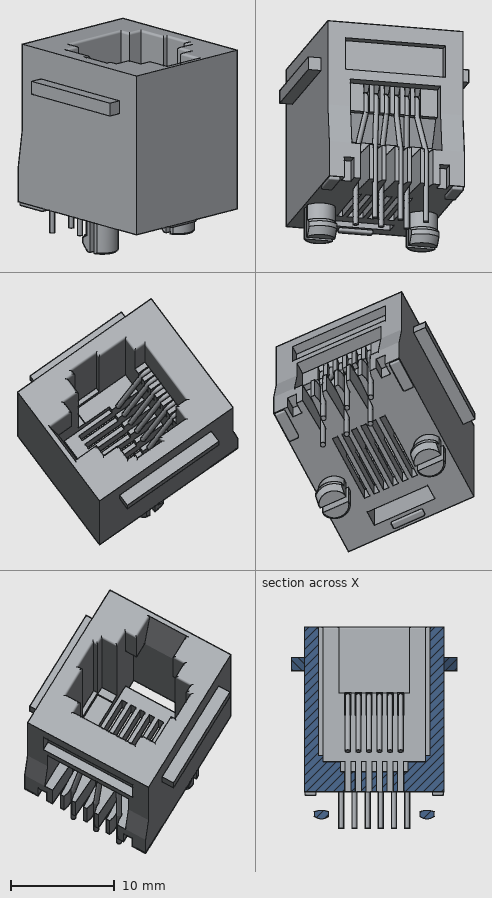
import cadquery as cq
import math


LENGTH = 16.5
HEIGHT = 15.91
WIDTH = 13.48
UPPER_SETBACK = 0.56
SETBACK_BOTTOM = 3.5
SETBACK_TOP = 7.4

OVERALL_WIDTH = 16.0
RAIL_START = 3.19
RAIL_END = 14.1
RAIL_BOTTOM = 11.67
RAIL_TOP = 12.95

MOUTH_RADIUS = 0.23
CONTACT_WALL = 3.75
CONTACT_HALF = 3.38
PLUG_START = 4.95
PLUG_END = 11.79
PLUG_HALF = 4.92
KEY_START = 8.1
KEY_END = 10.97
KEY_HALF = 5.37
STEP_END = 13.45
STEP_HALF = 3.25
LATCH_HALF = 2.02
LATCH_MOUTH_END = 16.03
LATCH_RAMP_END = 15.03
LATCH_DEPTH = 4.96
LEDGE_Z = 9.53
KEY_FLOOR = 3.5
PLUG_FLOOR = 2.92
PLUG_END_FLOOR = 3.11
STEP_FLOOR = 1.95

RECESS_HALF = 4.98
RECESS_BOTTOM = 11.13
RECESS_TOP = 14.32
RECESS_DEPTH = 0.9
WINDOW_HALF = 4.5
WINDOW_TOP = 10.17
RIB_FACE = 1.79
RIB_BACK = 2.4
WINDOW_BACK = CONTACT_WALL
WINDOW_BACK_TOP = 4.85

CONTACT_COUNT = 6
WIRE_DIAMETER = 0.5
WIRE_RADIUS = WIRE_DIAMETER / 2
TAIL_BOTTOM = HEIGHT - 19.45
TAIL_SPAN = 6.36
FRONT_ROW = 1.05
REAR_ROW = 3.58
SPRING_SPAN = 5.1
RISER_X = 2.08
RISER_TOP = 8.81
FIRST_BEND_RADIUS = 0.43
SECOND_BEND_START = 4.15
SECOND_BEND_RADIUS = 0.58
SPRING_ANGLE = 60
SPRING_TIP = 7.55

SPRING_SLOT_WIDTH = 0.56
SPRING_SLOT_END = 12.02
TAIL_SLOT_MOUTH = 0.88
TAIL_SLOT_THROAT = 0.55
FRONT_THROAT_X = 0.62

NOTCH_INNER = 4.28
NOTCH_OUTER = 5.23
NOTCH_HEIGHT = 2.05
NOTCH_DEPTH = 1.17

PAD_HEIGHT = 0.37
PAD_FILLET = 0.15
SIDE_PAD_START = 0.08
SIDE_PAD_END = 3.3
SIDE_PAD_INNER = 5.6
SIDE_PAD_OUTER = 6.7
REAR_PAD_START = 15.42
REAR_PAD_END = 16.12
REAR_PAD_HALF = 1.7

POST_X = 10.0
POST_Y = 5.1
POST_RADIUS = 1.55
POST_LENGTH = 3.17
POST_FLAT_HALF = 1.38
POST_SPLIT = 0.55
POST_CHAMFER = 0.15
BARB_RADIUS = 1.89
BARB_TIP_RADIUS = 1.48
BARB_START = 1.55
BARB_FULL_START = 1.9
BARB_FULL_END = 2.4


def block(x0, x1, y0, y1, z0, z1):
    """Box between two corners."""
    return cq.Workplane("XY").box(x1 - x0, y1 - y0, z1 - z0, centered=False).translate((x0, y0, z0))


def centred_block(x0, x1, half_width, z0, z1):
    """Box that is symmetric about Y = 0."""
    return block(x0, x1, -half_width, half_width, z0, z1)


def profile(points, half_width):
    """Outline in XZ, extruded to both sides of Y = 0."""
    return cq.Workplane("XZ").polyline(points).close().extrude(half_width, both=True)


def contact_places(span):
    """Y of the contacts, evenly spaced from +Y to -Y."""
    return [span / 2 - span * index / (CONTACT_COUNT - 1) for index in range(CONTACT_COUNT)]


TAIL_ROWS = [(REAR_ROW, FRONT_ROW)[index % 2] for index in range(CONTACT_COUNT)]
TAIL_PLACES = list(zip(TAIL_ROWS, contact_places(TAIL_SPAN)))


def housing_body():
    return profile(
        [
            (0, 0),
            (LENGTH, 0),
            (LENGTH, HEIGHT),
            (UPPER_SETBACK, HEIGHT),
            (UPPER_SETBACK, SETBACK_TOP),
            (0, SETBACK_BOTTOM),
        ],
        WIDTH / 2,
    )


def socket_pocket(x0, x1, half_width, floor):
    """Rectangular pocket from the top."""
    return centred_block(x0, x1, half_width, floor, HEIGHT)


def latch_pocket():
    """Latch opening with a sloping end wall, and the wider opening below it that runs to the base."""
    latch_bottom = HEIGHT - LATCH_DEPTH
    opening = profile(
        [
            (STEP_END, HEIGHT),
            (LATCH_MOUTH_END, HEIGHT),
            (LATCH_RAMP_END, latch_bottom),
            (STEP_END, latch_bottom),
        ],
        LATCH_HALF,
    )
    lower = centred_block(STEP_END, LATCH_RAMP_END, STEP_HALF, 0, latch_bottom)
    return opening.union(lower)


def socket():
    cavity = socket_pocket(CONTACT_WALL, PLUG_START, CONTACT_HALF, LEDGE_Z)
    cavity = cavity.union(socket_pocket(PLUG_START, KEY_END, PLUG_HALF, PLUG_FLOOR))
    cavity = cavity.union(socket_pocket(KEY_END, PLUG_END, PLUG_HALF, PLUG_END_FLOOR))
    cavity = cavity.union(socket_pocket(KEY_START, KEY_END, KEY_HALF, KEY_FLOOR))
    cavity = cavity.union(socket_pocket(KEY_START, STEP_END, STEP_HALF, STEP_FLOOR))
    return cavity.union(latch_pocket())


def round_mouth(body):
    """Round the socket mouth, except along the outer edge of the latch opening."""
    mouth = body.faces(">Z").val().innerWires()[0]
    rounded = [edge for edge in mouth.Edges() if edge.Center().x < LATCH_MOUTH_END - MOUTH_RADIUS]
    return cq.Workplane(body.val().fillet(MOUTH_RADIUS, rounded))


def recess():
    return centred_block(0, UPPER_SETBACK + RECESS_DEPTH, RECESS_HALF, RECESS_BOTTOM, RECESS_TOP)


def window():
    """Opening around the contact risers, with a sloping ceiling behind the ribs."""
    return profile(
        [
            (0, SETBACK_BOTTOM),
            (WINDOW_BACK, SETBACK_BOTTOM),
            (WINDOW_BACK, WINDOW_BACK_TOP),
            (RIB_BACK, SETBACK_TOP),
            (RIB_FACE, SETBACK_TOP),
            (RIB_FACE, WINDOW_TOP),
            (0, WINDOW_TOP),
        ],
        WINDOW_HALF,
    )


def spring_slot(y):
    """Slot between two ribs, and the slot through the socket floor below the free end."""
    half = SPRING_SLOT_WIDTH / 2
    rib_slot = profile(
        [
            (RIB_FACE, SETBACK_TOP),
            (PLUG_START, SETBACK_TOP),
            (PLUG_START, LEDGE_Z),
            (RIB_BACK, LEDGE_Z),
            (RIB_FACE, WINDOW_TOP),
        ],
        half,
    )
    floor_slot = centred_block(PLUG_START, SPRING_SLOT_END, half, 0, PLUG_FLOOR)
    return rib_slot.union(floor_slot).translate((0, y, 0))


def tail_slot(row_x, y):
    """Tapered slot through the foot, with a round end that holds the tail."""
    mouth = TAIL_SLOT_MOUTH / 2
    throat = TAIL_SLOT_THROAT / 2
    throat_x = FRONT_THROAT_X if row_x == FRONT_ROW else row_x
    outline = cq.Workplane("XY").moveTo(0, -mouth).lineTo(throat_x, -throat)
    if throat_x < row_x:
        outline = outline.lineTo(row_x, -throat)
    outline = outline.threePointArc((row_x + throat, 0), (row_x, throat))
    if throat_x < row_x:
        outline = outline.lineTo(throat_x, throat)
    return outline.lineTo(0, mouth).close().extrude(SETBACK_BOTTOM).translate((0, y, 0))


def foot_notch(side):
    inner, outer = sorted((side * NOTCH_INNER, side * NOTCH_OUTER))
    return block(0, NOTCH_DEPTH, inner, outer, 0, NOTCH_HEIGHT)


def pad(x0, x1, y0, y1):
    """Stand-off pad below the base with rounded sides and lower edges."""
    return block(x0, x1, y0, y1, -PAD_HEIGHT, 0).edges("|Z or <Z").fillet(PAD_FILLET)


def post(side):
    """Flatted post, split in two across X, with a barb on the half nearer the contacts."""
    half_split = POST_SPLIT / 2
    barbed = (
        cq.Workplane("XZ")
        .polyline(
            [
                (0, 0),
                (POST_RADIUS, 0),
                (POST_RADIUS, -BARB_START),
                (BARB_RADIUS, -BARB_FULL_START),
                (BARB_RADIUS, -BARB_FULL_END),
                (BARB_TIP_RADIUS, -POST_LENGTH),
                (0, -POST_LENGTH),
            ]
        )
        .close()
        .revolve(360, (0, 0, 0), (0, 1, 0))
    )
    plain = cq.Workplane("XY").circle(POST_RADIUS).extrude(-POST_LENGTH).faces("<Z").chamfer(POST_CHAMFER)
    barbed_half = barbed.intersect(
        centred_block(-BARB_RADIUS, -half_split, POST_FLAT_HALF, -POST_LENGTH, 0)
    )
    plain_half = plain.intersect(
        centred_block(half_split, POST_RADIUS, POST_FLAT_HALF, -POST_LENGTH, 0)
    )
    return barbed_half.union(plain_half).translate((POST_X, side * POST_Y, 0))


def contact(row_x, tail_y, spring_y):
    """Round wire: tail, oblique run, riser, two bends and the sloping free end."""
    angle = math.radians(SPRING_ANGLE)
    crest = RISER_TOP + FIRST_BEND_RADIUS
    first_centre_x = RISER_X + FIRST_BEND_RADIUS
    second_centre_z = crest - SECOND_BEND_RADIUS

    def on_second_bend(turn):
        return cq.Vector(
            SECOND_BEND_START + SECOND_BEND_RADIUS * math.sin(turn),
            spring_y,
            second_centre_z + SECOND_BEND_RADIUS * math.cos(turn),
        )

    tail_end = cq.Vector(row_x, tail_y, TAIL_BOTTOM)
    tail_top = cq.Vector(row_x, tail_y, SETBACK_BOTTOM)
    riser_bottom = cq.Vector(RISER_X, spring_y, SETBACK_TOP)
    riser_top = cq.Vector(RISER_X, spring_y, RISER_TOP)
    first_middle = cq.Vector(
        first_centre_x - FIRST_BEND_RADIUS * math.cos(math.pi / 4),
        spring_y,
        RISER_TOP + FIRST_BEND_RADIUS * math.sin(math.pi / 4),
    )
    first_end = cq.Vector(first_centre_x, spring_y, crest)
    second_start = on_second_bend(0)
    second_end = on_second_bend(angle)
    free_run = SPRING_TIP - second_end.x
    tip = second_end + cq.Vector(free_run, 0, -free_run * math.tan(angle))
    path = cq.Wire.assembleEdges(
        [
            cq.Edge.makeLine(tail_end, tail_top),
            cq.Edge.makeLine(tail_top, riser_bottom),
            cq.Edge.makeLine(riser_bottom, riser_top),
            cq.Edge.makeThreePointArc(riser_top, first_middle, first_end),
            cq.Edge.makeLine(first_end, second_start),
            cq.Edge.makeThreePointArc(second_start, on_second_bend(angle / 2), second_end),
            cq.Edge.makeLine(second_end, tip),
        ]
    )
    return (
        cq.Workplane("XY", origin=tail_end.toTuple())
        .circle(WIRE_RADIUS)
        .sweep(cq.Workplane(path), transition="right")
    )


def rail(side):
    inner, outer = sorted((side * WIDTH / 2, side * OVERALL_WIDTH / 2))
    return block(RAIL_START, RAIL_END, inner, outer, RAIL_BOTTOM, RAIL_TOP)


contacts = [
    contact(row_x, tail_y, spring_y)
    for (row_x, tail_y), spring_y in zip(TAIL_PLACES, contact_places(SPRING_SPAN))
]
rails = [rail(side) for side in (-1, 1)]

housing = round_mouth(housing_body().cut(socket())).cut(recess()).cut(window())
for spring_y in contact_places(SPRING_SPAN):
    housing = housing.cut(spring_slot(spring_y))
for row_x, tail_y in TAIL_PLACES:
    housing = housing.cut(tail_slot(row_x, tail_y))
for side in (-1, 1):
    pad_y0, pad_y1 = sorted((side * SIDE_PAD_INNER, side * SIDE_PAD_OUTER))
    housing = housing.cut(foot_notch(side))
    housing = housing.union(pad(SIDE_PAD_START, SIDE_PAD_END, pad_y0, pad_y1))
    housing = housing.union(post(side))
housing = housing.union(pad(REAR_PAD_START, REAR_PAD_END, -REAR_PAD_HALF, REAR_PAD_HALF))

for wire in contacts:
    housing = housing.cut(wire)

result = cq.Compound.makeCompound(
    [housing.val(), *[wire.val() for wire in contacts], *[bar.val() for bar in rails]]
)